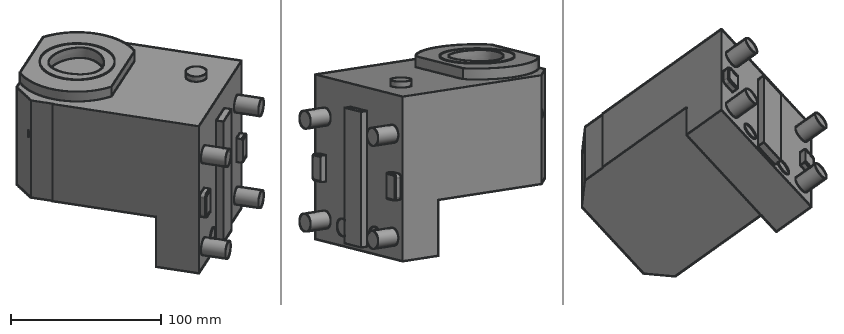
import cadquery as cq
import math

total_length = 149.0
total_height = 120.0
body_width = 95.0
body_length = 132.0
half_width = body_width / 2

seat_thickness = 7.5
ring_height = 0.5
seat_top = total_height - ring_height
body_top = seat_top - seat_thickness

foot_start = 101.9
foot_height = 38.0
corner_chamfer = 14.9
relief_depth = 0.5
relief_length = 29.7

seat_x = 32.0
seat_radius = 41.1
ring_radius = 25.0
socket_mean_radius = 18.5
socket_lobe = 0.82
socket_floor = body_top
socket_points = 48

pin_x = 109.8
pin_y = 17.1
pin_radius = 7.0
pin_height = 4.0

side_pin_radius = 4.5
side_pin_start = 11.9
side_pin_length = 6.0
side_pin_y = 41.0
side_pin_z = body_top - 27.0

mount_z = 50.0
bolt_radius = 6.1
bolt_spacing_y = 73.3
bolt_spacing_z = 70.0
key_width = 18.0
upright_key_height = 5.0
cross_key_height = 4.5
cross_key_gap = 71.5
upright_key_length = 92.2
cross_key_length = 90.6
cross_key_corner = 2.4
cross_key_chamfer = 0.7
disc_radius = 6.0
disc_height = 0.5
disc_y = 17.5
disc_z = 12.8


def cylinder_up(x, y, base, radius, height):
    """Vertical cylinder standing on the given base height."""
    return cq.Workplane("XY", origin=(x, y, base)).circle(radius).extrude(height)


def cylinder_along_x(x, y, z, radius, length):
    """Cylinder pointing in +X from the given start."""
    return cq.Workplane("YZ", origin=(x, y, z)).circle(radius).extrude(length)


def make_body():
    """L-shaped block with two chamfered front corners and a shallow side relief."""
    profile = [
        (0, foot_height),
        (foot_start, foot_height),
        (foot_start, 0),
        (body_length, 0),
        (body_length, body_top),
        (0, body_top),
    ]
    block = cq.Workplane("XZ", origin=(0, half_width, 0)).polyline(profile).close().extrude(body_width)
    block = block.edges("|Z and <X").chamfer(corner_chamfer)
    relief = cq.Workplane("XY").box(relief_length, relief_depth, body_top, centered=False)
    return block.cut(relief.translate((0, -half_width, 0)))


def socket_point(turn):
    """Point on a constant-width three-lobed curve with one lobe towards +Y; turn runs from 0 to 1."""
    angle = 2 * math.pi * turn
    lobe_angle = 3 * (angle - math.pi / 2)
    reach = socket_mean_radius + socket_lobe * math.cos(lobe_angle)
    slope = -3 * socket_lobe * math.sin(lobe_angle)
    x = reach * math.cos(angle) - slope * math.sin(angle)
    y = reach * math.sin(angle) + slope * math.cos(angle)
    return (x, y)


def make_seat():
    """Flange with flats at both X sides, carrying the raised ring."""
    flange = cylinder_up(seat_x, 0, body_top, seat_radius, seat_thickness)
    flats = cq.Workplane("XY").box(2 * seat_x, 2 * seat_radius, total_height, centered=(False, True, False))
    ring = cylinder_up(seat_x, 0, seat_top, ring_radius, ring_height)
    return flange.intersect(flats).union(ring)


def make_socket():
    """Three-lobed pocket sunk from the top of the ring."""
    outline = [socket_point(i / socket_points) for i in range(socket_points)]
    plane = cq.Workplane("XY", origin=(seat_x, 0, socket_floor))
    return plane.spline(outline, periodic=True).close().extrude(total_height - socket_floor)


def make_keys():
    """Upright key between two short keys whose outer corners are rounded and chamfered."""
    plane = cq.Workplane("YZ", origin=(body_length, 0, mount_z))
    upright = plane.rect(key_width, upright_key_length).extrude(upright_key_height)
    cross = plane.rect(cross_key_length, key_width).extrude(cross_key_height)
    cross = cross.edges("|X").fillet(cross_key_corner).faces(">X").chamfer(cross_key_chamfer)
    gap = plane.rect(cross_key_gap, key_width).extrude(cross_key_height)
    return upright.union(cross.cut(gap))


def make_bolt(side, level):
    """Bolt end at one corner of the mounting face."""
    bolt_y = side * bolt_spacing_y / 2
    bolt_z = mount_z + level * bolt_spacing_z / 2
    return cylinder_along_x(body_length, bolt_y, bolt_z, bolt_radius, total_length - body_length)


def make_side_pin(side):
    """Pin buried in the body except for its rim beyond the corner chamfer."""
    return cylinder_along_x(side_pin_start, side * side_pin_y, side_pin_z, side_pin_radius, side_pin_length)


def make_disc(side):
    """Thin sealing disc low on the mounting face."""
    return cylinder_along_x(body_length, side * disc_y, disc_z, disc_radius, disc_height)


result = make_body().union(make_seat()).cut(make_socket())
result = result.union(cylinder_up(pin_x, pin_y, body_top, pin_radius, pin_height))
result = result.union(make_keys())

for side in (-1, 1):
    result = result.union(make_side_pin(side)).union(make_disc(side))
    for level in (-1, 1):
        result = result.union(make_bolt(side, level))